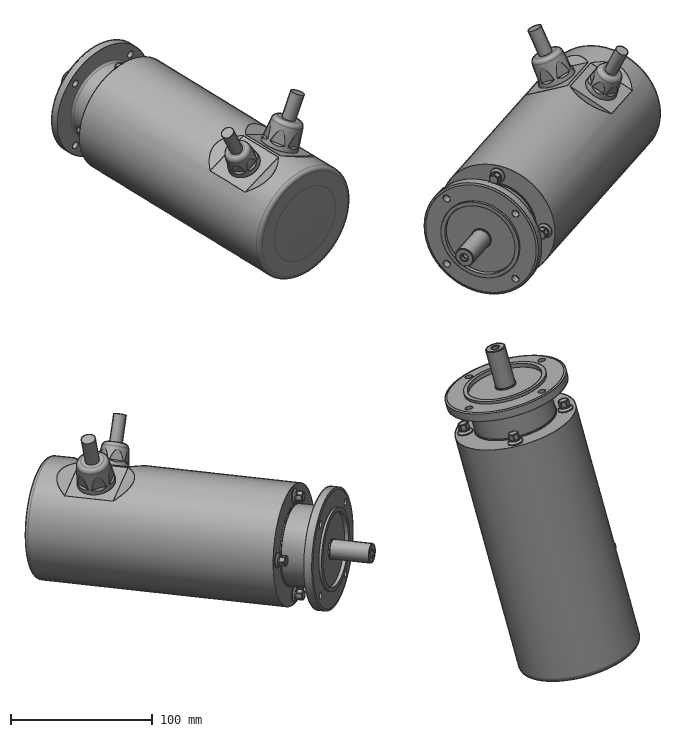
import cadquery as cq
import math


PILOT_FACE_X = 27.3
FLANGE_FRONT_X = 29.3
FLANGE_BACK_X = 35.7
HOUSING_FRONT_X = 58.5
HOUSING_BACK_X = 244.5
CONE_TIP_X = 246.0

SHAFT_DIA = 14.0
SHAFT_CHAMFER = 0.5
CENTRE_MOUTH_DIA = 6.5
CENTRE_RELIEF_DIA = 5.5
CENTRE_THREAD_DIA = 4.5
CENTRE_TIP_DIA = 3.5
CENTRE_MOUTH_DEPTH = 0.5
CENTRE_RELIEF_DEPTH = 3.0
CENTRE_THREAD_DEPTH = 9.8
CENTRE_TIP_DEPTH = 12.3

FLANGE_DIA = 88.0
FLANGE_CHAMFER_LENGTH = 0.5
FLANGE_CHAMFER_DEPTH = 1.5
PILOT_DIA = 60.0
PILOT_RECESS_DIA = 54.0
PILOT_RECESS_DEPTH = 3.0
SHAFT_COLLAR_DIA = 15.0
SHAFT_COLLAR_LENGTH = 1.0
NECK_DIA = 59.0
NECK_FRONT_FILLET = 1.5
NECK_COLLAR_DIA = 60.0
NECK_COLLAR_LENGTH = 1.0
FLANGE_HOLE_DIA = 5.5
FLANGE_HOLE_COUNT = 4
FLANGE_HOLE_CIRCLE_RADIUS = 37.5

HOUSING_DIA = 88.0
HOUSING_BACK_FILLET = 3.0
BACK_CONE_DIA = 59.0

SCREW_COUNT = 4
SCREW_CIRCLE_RADIUS = 36.5
SCREW_FRONT_X = 51.2
SCREW_HEAD_DIA = 7.6
SCREW_FLATS = 7.0
SCREW_FLATS_START = 3.0
SCREW_CHAMFER = 0.7
WASHER_DIA = 10.8
WASHER_RIM = 0.7
WASHER_CONE_TOP = 2.0

SEAT_X = 200.0
SEAT_TILT = 25.0
SEAT_HEIGHT = 40.3
SEAT_LENGTH = 36.2
SEAT_RAMP_ANGLE = 20.0
SEAT_CUT_HEIGHT = 12.3

LARGE_GLAND = dict(
    base_dia=27.5,
    top_dia=22.6,
    height=20.7,
    dome_radius=3.5,
    flats=24.0,
    ledge_height=4.2,
    cable_dia=10.0,
    cable_end=40.8,
)
SMALL_GLAND = dict(
    base_dia=23.9,
    top_dia=18.2,
    height=17.7,
    dome_radius=3.7,
    flats=20.0,
    ledge_height=4.7,
    cable_dia=9.0,
    cable_end=38.0,
)


def disc(x_start, x_end, diameter):
    """Cylinder on the motor axis between two X stations."""
    return cq.Workplane("YZ", origin=(x_start, 0, 0)).circle(diameter / 2).extrude(x_end - x_start)


def hexagon(across_flats, height):
    """Hexagonal prism along Z, with two of its flats facing +X and -X."""
    across_corners = across_flats / math.cos(math.radians(30))
    return cq.Workplane("XY").polygon(6, across_corners).extrude(height).rotate((0, 0, 0), (0, 0, 1), 30)


def make_shaft():
    """Drive shaft with a centre hole in its tip."""
    shaft = disc(0, HOUSING_FRONT_X, SHAFT_DIA).faces("<X").chamfer(SHAFT_CHAMFER)
    thread_start = CENTRE_RELIEF_DEPTH + (CENTRE_RELIEF_DIA - CENTRE_THREAD_DIA) / 2
    centre_hole = (
        cq.Workplane("XY")
        .lineTo(0, CENTRE_MOUTH_DIA / 2)
        .lineTo(CENTRE_MOUTH_DEPTH, CENTRE_RELIEF_DIA / 2)
        .lineTo(CENTRE_RELIEF_DEPTH, CENTRE_RELIEF_DIA / 2)
        .lineTo(thread_start, CENTRE_THREAD_DIA / 2)
        .lineTo(CENTRE_THREAD_DEPTH, CENTRE_THREAD_DIA / 2)
        .lineTo(CENTRE_THREAD_DEPTH, CENTRE_TIP_DIA / 2)
        .lineTo(CENTRE_TIP_DEPTH, CENTRE_TIP_DIA / 2)
        .lineTo(CENTRE_TIP_DEPTH, 0)
        .close()
        .revolve(360, (0, 0, 0), (1, 0, 0))
    )
    return shaft.cut(centre_hole)


def make_flange():
    """Drilled flange with a recessed pilot and a low collar around the shaft."""
    front_bevel = cq.Workplane(
        cq.Solid.makeCone(
            FLANGE_DIA / 2 - FLANGE_CHAMFER_DEPTH,
            FLANGE_DIA / 2,
            FLANGE_CHAMFER_LENGTH,
            cq.Vector(FLANGE_FRONT_X, 0, 0),
            cq.Vector(1, 0, 0),
        )
    )
    flange = front_bevel.union(disc(FLANGE_FRONT_X + FLANGE_CHAMFER_LENGTH, FLANGE_BACK_X, FLANGE_DIA))
    holes = (
        cq.Workplane("YZ", origin=(FLANGE_FRONT_X, 0, 0))
        .polarArray(FLANGE_HOLE_CIRCLE_RADIUS, 45, 360, FLANGE_HOLE_COUNT)
        .circle(FLANGE_HOLE_DIA / 2)
        .extrude(FLANGE_BACK_X - FLANGE_FRONT_X)
    )
    recess_floor_x = PILOT_FACE_X + PILOT_RECESS_DEPTH
    return (
        flange.cut(holes)
        .union(disc(PILOT_FACE_X, FLANGE_FRONT_X, PILOT_DIA))
        .cut(disc(PILOT_FACE_X, recess_floor_x, PILOT_RECESS_DIA))
        .union(disc(recess_floor_x - SHAFT_COLLAR_LENGTH, recess_floor_x, SHAFT_COLLAR_DIA))
    )


def make_neck():
    """Neck between flange and housing, filleted at the flange and with a thin collar at the housing."""
    radius = NECK_DIA / 2
    fillet = NECK_FRONT_FILLET
    bend = fillet * (1 - math.sqrt(0.5))
    neck = (
        cq.Workplane("XY")
        .moveTo(FLANGE_BACK_X, 0)
        .lineTo(FLANGE_BACK_X, radius + fillet)
        .threePointArc((FLANGE_BACK_X + bend, radius + bend), (FLANGE_BACK_X + fillet, radius))
        .lineTo(HOUSING_FRONT_X, radius)
        .lineTo(HOUSING_FRONT_X, 0)
        .close()
        .revolve(360, (0, 0, 0), (1, 0, 0))
    )
    return neck.union(disc(HOUSING_FRONT_X - NECK_COLLAR_LENGTH, HOUSING_FRONT_X, NECK_COLLAR_DIA))


def on_seat(shape, tilt):
    """Move a shape built upwards from the origin on to the seat at the given tilt about the motor axis."""
    return shape.translate((SEAT_X, 0, SEAT_HEIGHT)).rotate((0, 0, 0), (1, 0, 0), tilt)


def make_seat_cutter():
    """Flat-bottomed cutter with a ramp at each end, wider than the seat it leaves."""
    half_length = SEAT_LENGTH / 2
    ramp_length = SEAT_CUT_HEIGHT / math.tan(math.radians(SEAT_RAMP_ANGLE))
    return (
        cq.Workplane("XZ")
        .moveTo(-half_length, 0)
        .lineTo(half_length, 0)
        .lineTo(half_length + ramp_length, SEAT_CUT_HEIGHT)
        .lineTo(-half_length - ramp_length, SEAT_CUT_HEIGHT)
        .close()
        .extrude(HOUSING_DIA / 2, both=True)
    )


def make_housing():
    """Cylindrical housing with a shallow cone on its back and two tilted gland seats."""
    housing = disc(HOUSING_FRONT_X, HOUSING_BACK_X, HOUSING_DIA).faces(">X").edges().fillet(HOUSING_BACK_FILLET)
    back_cone = cq.Workplane(
        cq.Solid.makeCone(
            BACK_CONE_DIA / 2, 0, CONE_TIP_X - HOUSING_BACK_X, cq.Vector(HOUSING_BACK_X, 0, 0), cq.Vector(1, 0, 0)
        )
    )
    housing = housing.union(back_cone)
    for tilt in (-SEAT_TILT, SEAT_TILT):
        housing = housing.cut(on_seat(make_seat_cutter(), tilt))
    return housing


def make_screw():
    """Round head with six flats on a conical washer face, pointing up from the origin."""
    height = HOUSING_FRONT_X - SCREW_FRONT_X
    radius = SCREW_HEAD_DIA / 2
    blank = (
        cq.Workplane("XZ")
        .lineTo(WASHER_DIA / 2, 0)
        .lineTo(WASHER_DIA / 2, WASHER_RIM)
        .lineTo(radius, WASHER_CONE_TOP)
        .lineTo(radius, height - SCREW_CHAMFER)
        .lineTo(radius - SCREW_CHAMFER, height)
        .lineTo(0, height)
        .close()
        .revolve(360, (0, 0, 0), (0, 1, 0))
    )
    flats_height = height - SCREW_FLATS_START
    outside_flats = cq.Workplane("XY").circle(SCREW_HEAD_DIA).extrude(flats_height).cut(
        hexagon(SCREW_FLATS, flats_height)
    )
    return blank.cut(outside_flats.translate((0, 0, SCREW_FLATS_START)))


def make_screws():
    """Ring of screws on the front face of the housing, each with a corner pointing outwards."""
    first = (
        make_screw()
        .rotate((0, 0, 0), (0, 1, 0), -90)
        .rotate((0, 0, 0), (1, 0, 0), 90)
        .translate((HOUSING_FRONT_X, 0, SCREW_CIRCLE_RADIUS))
    )
    screws = []
    for index in range(SCREW_COUNT):
        screws.append(first.rotate((0, 0, 0), (1, 0, 0), index * 360 / SCREW_COUNT))
    return screws


def make_motor():
    """Motor body: housing, neck, flange, shaft and screws in one solid."""
    motor = make_housing().union(make_neck()).union(make_flange()).union(make_shaft())
    for screw in make_screws():
        motor = motor.union(screw)
    return motor


def make_flat_cutter(apothem, ledge_height, top_height, reach):
    """Cutter for the flat facing +X, with a 45 degree ledge sloping down and out from its foot."""
    return (
        cq.Workplane("XZ")
        .moveTo(apothem, ledge_height)
        .lineTo(apothem + reach, ledge_height - reach)
        .lineTo(apothem + reach, top_height)
        .lineTo(apothem, top_height)
        .close()
        .extrude(apothem + reach, both=True)
    )


def make_gland(base_dia, top_dia, height, dome_radius, flats, ledge_height, cable_dia, cable_end):
    """Tapered cable gland with a rounded top, six flats above sloping ledges, and its cable."""
    gland = (
        cq.Workplane("XY")
        .circle(base_dia / 2)
        .workplane(offset=height)
        .circle(top_dia / 2)
        .loft()
        .faces(">Z")
        .edges()
        .fillet(dome_radius)
    )
    flat_cutter = make_flat_cutter(flats / 2, ledge_height, height, base_dia / 2)
    for index in range(6):
        gland = gland.cut(flat_cutter.rotate((0, 0, 0), (0, 0, 1), index * 60))
    cable = cq.Workplane("XY").circle(cable_dia / 2).extrude(cable_end)
    return gland.union(cable)


motor = make_motor()
large_gland = on_seat(make_gland(**LARGE_GLAND), -SEAT_TILT)
small_gland = on_seat(make_gland(**SMALL_GLAND), SEAT_TILT)

result = cq.Compound.makeCompound([motor.val(), large_gland.val(), small_gland.val()])